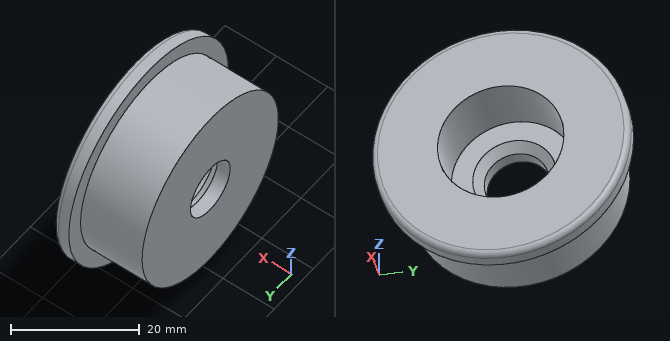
import cadquery as cq

flange_diameter = 41.0
hub_diameter = 35.0
bore_diameter = 10.2
total_length = 15.0
flange_thickness = 3.0
rim_radius = 1.0

wall_thickness = 4.0
recess_diameter = 20.0
bore_chamfer = 1.5

hub_length = total_length - flange_thickness
recess_depth = total_length - wall_thickness


def disc(diameter, start, length):
    """Solid cylinder along +X, beginning at the given X position."""
    return cq.Workplane("YZ", origin=(start, 0, 0)).circle(diameter / 2).extrude(length)


hub = disc(hub_diameter, 0, hub_length)
flange = disc(flange_diameter, hub_length, flange_thickness)
flange = flange.faces(">X").edges().fillet(rim_radius)

bore = disc(bore_diameter, 0, wall_thickness)
chamfer_cone = cq.Solid.makeCone(
    bore_diameter / 2,
    bore_diameter / 2 + bore_chamfer,
    bore_chamfer,
    pnt=cq.Vector(wall_thickness - bore_chamfer, 0, 0),
    dir=cq.Vector(1, 0, 0),
)

recess = disc(recess_diameter, wall_thickness, recess_depth)

result = hub.union(flange).cut(bore).cut(cq.Workplane(chamfer_cone)).cut(recess)